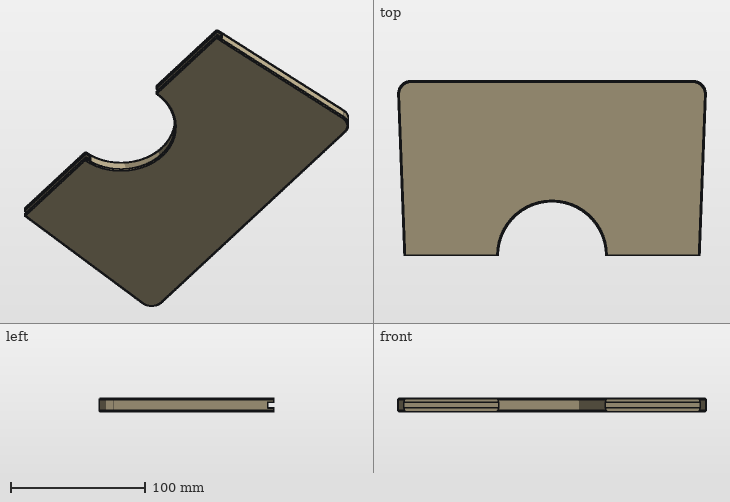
import cadquery as cq

thickness = 10.0
depth = 130.0
front_width = 220.0
back_width = 230.0
back_corner_radius = 10.0

cutout_radius = 40.0

groove_depth = 4.5
groove_height = 4.0

edge_chamfer = 1.0


def make_plate():
    """Tapered plate with rounded back corners and the half-round cutout."""
    blank = (
        cq.Workplane("XY")
        .moveTo(-front_width / 2, 0)
        .lineTo(-cutout_radius, 0)
        .threePointArc((0, cutout_radius), (cutout_radius, 0))
        .lineTo(front_width / 2, 0)
        .lineTo(back_width / 2, depth)
        .lineTo(-back_width / 2, depth)
        .close()
        .extrude(thickness)
    )
    return blank.edges("|Z and >Y").fillet(back_corner_radius)


def chamfer_faces(plate):
    """Chamfer every top and bottom edge that is not on the front edge."""
    front_edges = cq.selectors.BoxSelector(
        (-front_width, -edge_chamfer, -thickness),
        (front_width, edge_chamfer, 2 * thickness),
    )
    face_edges = plate.faces("|Z").edges()
    return face_edges.edges(cq.selectors.InverseSelector(front_edges)).chamfer(edge_chamfer)


def make_groove():
    """Bar that cuts the front groove across the full width."""
    return (
        cq.Workplane("XY")
        .box(back_width, groove_depth, groove_height, centered=(True, False, True))
        .translate((0, 0, thickness / 2))
    )


result = chamfer_faces(make_plate()).cut(make_groove())